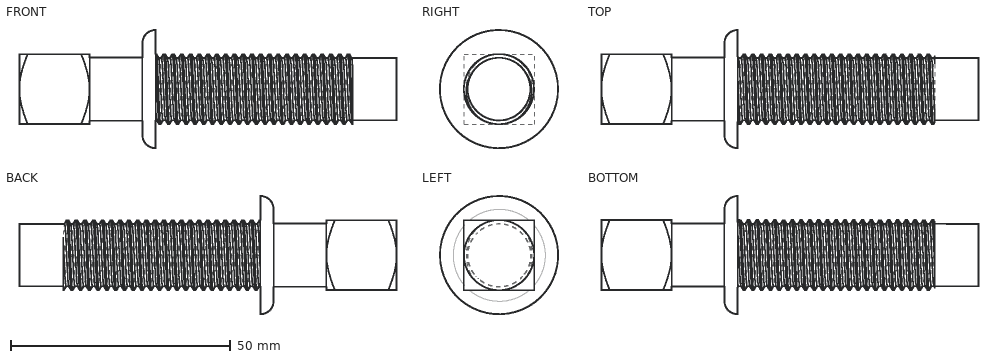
import cadquery as cq
import math

total_length = 86.0
head_length = 16.0
flange_start = 28.0
flange_thickness = 3.0
thread_start = flange_start + flange_thickness
tail_length = 10.0
thread_end = total_length - tail_length
thread_length = thread_end - thread_start

head_width = 16.0
head_chamfer_angle = 30.0
shank_radius = 14.45 / 2
flange_radius = 27.0 / 2
core_radius = 14.3 / 2
thread_radius = 16.0 / 2

thread_turns = 22.5
pitch = thread_length / thread_turns
thread_base_width = 1.4
thread_crest_width = 0.35
root_overlap = 0.1


def cylinder(radius, start, end):
    return cq.Workplane("YZ", origin=(start, 0, 0)).circle(radius).extrude(end - start)


def revolve_about_x(outline):
    return outline.close().revolve(360, (0, 0, 0), (1, 0, 0))


def make_head():
    """Square block whose corners are turned off by a cone at both ends."""
    block = cq.Workplane("YZ").rect(head_width, head_width).extrude(head_length)
    face_radius = head_width / 2
    corner_radius = head_width / math.sqrt(2)
    chamfer_depth = (corner_radius - face_radius) * math.tan(math.radians(head_chamfer_angle))
    envelope = revolve_about_x(
        cq.Workplane("XY")
        .lineTo(0, face_radius)
        .lineTo(chamfer_depth, corner_radius)
        .lineTo(head_length - chamfer_depth, corner_radius)
        .lineTo(head_length, face_radius)
        .lineTo(head_length, 0)
    )
    return block.intersect(envelope)


def make_flange():
    """Collar with its head-side rim rounded through its full thickness."""
    return revolve_about_x(
        cq.Workplane("XY")
        .moveTo(flange_start, 0)
        .lineTo(flange_start, flange_radius - flange_thickness)
        .radiusArc((thread_start, flange_radius), flange_thickness)
        .lineTo(thread_start, 0)
    )


def make_thread_ridge():
    """Helical ridge, swept one turn past each end and trimmed flush."""
    sweep_start = thread_start - pitch
    sweep_length = thread_length + 2 * pitch
    helix = cq.Wire.makeHelix(pitch, sweep_length, core_radius)
    inner_radius = core_radius - root_overlap
    flank_slope = (thread_base_width - thread_crest_width) / 2 / (thread_radius - core_radius)
    half_inner = thread_base_width / 2 + root_overlap * flank_slope
    half_crest = thread_crest_width / 2
    ridge = (
        cq.Workplane("XZ")
        .moveTo(inner_radius, -half_inner)
        .lineTo(thread_radius, -half_crest)
        .lineTo(thread_radius, half_crest)
        .lineTo(inner_radius, half_inner)
        .close()
        .sweep(cq.Workplane(helix), isFrenet=True)
    )
    ridge = (
        ridge.rotate((0, 0, 0), (0, 1, 0), 90)
        .rotate((0, 0, 0), (1, 0, 0), 180)
        .translate((sweep_start, 0, 0))
    )
    return ridge.intersect(cylinder(flange_radius, thread_start, thread_end))


shank = cylinder(shank_radius, head_length, flange_start)
core = cylinder(core_radius, thread_start, total_length)

result = core.union(make_thread_ridge()).union(make_flange()).union(shank).union(make_head())